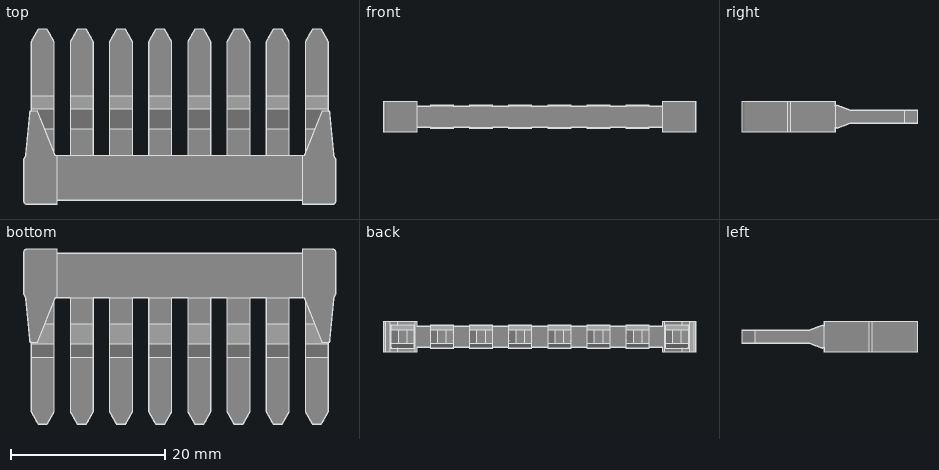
import cadquery as cq

LENGTH = 40.5
DEPTH = 22.75
BLOCK_THICKNESS = 4.0

BAR_FRONT = 0.53
BAR_BACK = 6.35
BAR_THICKNESS = 2.75

BLOCK_WIDTH = 4.35
BLOCK_CORNER_RADIUS = 0.5
STEP_START = 5.87
STEP_END = 6.28
STEP_INSET = 0.25
WING_END = 12.1
WING_TIP_INSET = 0.8
WING_TIP_WIDTH = 0.97
WING_BASE_WIDTH = 4.1

FINGER_COUNT = 8
FINGER_SPAN = 35.55
FINGER_PITCH = FINGER_SPAN / (FINGER_COUNT - 1)
FINGER_WIDTH = 3.0
TIP_WIDTH = 1.15
TIP_LENGTH = 1.65
ROOT_THICKNESS = 1.0
RIDGE_THICKNESS = 3.0
BLADE_THICKNESS = 1.7
ROOT_END = 9.75
RIDGE_POSITION = 12.35
BLADE_START = 14.05


def make_bar():
    """Bar along X, reaching into the middle of each end block."""
    bar_length = LENGTH - BLOCK_WIDTH
    bar_depth = BAR_BACK - BAR_FRONT
    return (
        cq.Workplane("XY")
        .box(bar_length, bar_depth, BAR_THICKNESS)
        .translate((0, (BAR_FRONT + BAR_BACK) / 2, 0))
    )


def make_left_block():
    """End block with a stepped outer side and a tapering wing at the back."""
    outer = -LENGTH / 2
    inner = outer + BLOCK_WIDTH
    wing_tip = outer + WING_TIP_INSET
    outline = [
        (outer, 0),
        (inner, 0),
        (inner, BAR_BACK),
        (outer + WING_BASE_WIDTH, BAR_BACK),
        (wing_tip + WING_TIP_WIDTH, WING_END),
        (wing_tip, WING_END),
        (outer + STEP_INSET, STEP_END),
        (outer, STEP_START),
    ]
    block = (
        cq.Workplane("XY")
        .polyline(outline)
        .close()
        .extrude(BLOCK_THICKNESS / 2, both=True)
    )
    return block.edges("|Z").edges("<X and <Y").fillet(BLOCK_CORNER_RADIUS)


def make_finger():
    """Finger centred on X = 0: thin root, thick ridge, then a flat pointed blade."""
    start = (BAR_FRONT + BAR_BACK) / 2
    upper_side = [
        (start, ROOT_THICKNESS / 2),
        (ROOT_END, ROOT_THICKNESS / 2),
        (RIDGE_POSITION, RIDGE_THICKNESS / 2),
        (BLADE_START, BLADE_THICKNESS / 2),
        (DEPTH, BLADE_THICKNESS / 2),
    ]
    lower_side = [(y, -z) for y, z in reversed(upper_side)]
    side_profile = (
        cq.Workplane("YZ")
        .polyline(upper_side + lower_side)
        .close()
        .extrude(FINGER_WIDTH / 2, both=True)
    )
    plan_outline = [
        (-FINGER_WIDTH / 2, start),
        (FINGER_WIDTH / 2, start),
        (FINGER_WIDTH / 2, DEPTH - TIP_LENGTH),
        (TIP_WIDTH / 2, DEPTH),
        (-TIP_WIDTH / 2, DEPTH),
        (-FINGER_WIDTH / 2, DEPTH - TIP_LENGTH),
    ]
    plan_prism = (
        cq.Workplane("XY")
        .polyline(plan_outline)
        .close()
        .extrude(RIDGE_THICKNESS, both=True)
    )
    return side_profile.intersect(plan_prism)


left_block = make_left_block()
result = make_bar().union(left_block).union(left_block.mirror("YZ"))

finger = make_finger()
for index in range(FINGER_COUNT):
    finger_x = index * FINGER_PITCH - FINGER_SPAN / 2
    result = result.union(finger.translate((finger_x, 0, 0)))